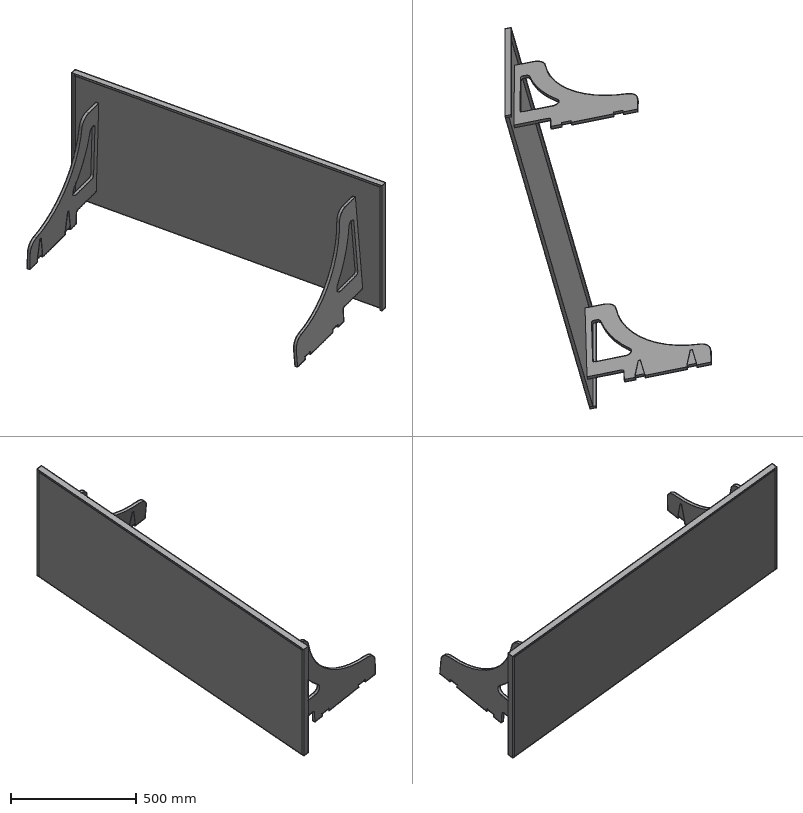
import cadquery as cq
import math

WIDTH = 1448.0
DEPTH = 521.0
HEIGHT = 623.0
FRAME_DEPTH = 26.0
FRAME_WIDTH = 10.0
PANEL_THICKNESS = 15.0

LEG_THICKNESS = 13.0
LEG_HEIGHT = 510.0
LEG_INNER_FACE_X = 618.0
LEFT_LEAN = 1.5
RIGHT_LEAN = 4.4
FOOT_BACK = 165.0
SHELF_HEIGHT = 65.0
SHELF_FILLET = 12.0

ARC_REACH = 517.0
ARC_HEIGHT = 507.0
ARC_RADIUS = 378.0
TIP_RADIUS = 50.0

LIMB_WIDTH = 74.0
WINDOW_BACK = 39.0
WINDOW_BOTTOM = 152.0
WINDOW_TOP = 418.0
WINDOW_BACK_FILLET = 13.0
WINDOW_TOP_FILLET = 17.0
WINDOW_LOWER_FILLET = 25.0

NOTCH_WIDTH = 39.0
NOTCH_HEIGHT = 13.0
NOTCH_STARTS = (210.0, 423.0)
TAPER_HEIGHT = 91.0
TAPER_TOP_WIDTH = 9.0
TAPER_DEPTH = 1.0


def arc_reach_at(height, radius):
    """Reach of the arc of the given radius, on its screen side, at a height."""
    return ARC_REACH - math.sqrt(radius**2 - (ARC_HEIGHT - height) ** 2)


def arc_height_at(reach, radius):
    """Height of the arc of the given radius, on its lower side, at a reach."""
    return ARC_HEIGHT - math.sqrt(radius**2 - (ARC_REACH - reach) ** 2)


def arc_middle(start, end, radius):
    """Point of the arc halfway between two of its points."""
    angles = [math.atan2(z - ARC_HEIGHT, reach - ARC_REACH) % math.tau for reach, z in (start, end)]
    middle = sum(angles) / 2
    return ARC_REACH + radius * math.cos(middle), ARC_HEIGHT + radius * math.sin(middle)


def leg_plane(x):
    """Plane at x whose first axis is reach (-Y) and second is Z; extruding goes toward -X."""
    return cq.Workplane(cq.Plane(origin=(x, 0, 0), xDir=(0, -1, 0), normal=(-1, 0, 0)))


def corner(reach, z):
    """Selector of the leg edge, running along X, that is nearest to a corner of the outline."""
    return cq.selectors.NearestToPointSelector((LEG_THICKNESS / 2, -reach, z))


def make_frame():
    outer = cq.Workplane().box(WIDTH, FRAME_DEPTH, HEIGHT, centered=(True, False, False))
    opening = cq.Workplane().box(
        WIDTH - 2 * FRAME_WIDTH, FRAME_DEPTH, HEIGHT - FRAME_WIDTH, centered=(True, False, False)
    )
    return outer.cut(opening).translate((0, -FRAME_DEPTH, 0))


def make_panel():
    panel = cq.Workplane().box(
        WIDTH - 2 * FRAME_WIDTH, PANEL_THICKNESS, HEIGHT - FRAME_WIDTH, centered=(True, False, False)
    )
    return panel.translate((0, -PANEL_THICKNESS, 0))


def make_leg_blank():
    arc_top = (arc_reach_at(LEG_HEIGHT, ARC_RADIUS), LEG_HEIGHT)
    arc_end = (DEPTH, arc_height_at(DEPTH, ARC_RADIUS))
    blank = (
        leg_plane(LEG_THICKNESS)
        .moveTo(PANEL_THICKNESS, SHELF_HEIGHT)
        .lineTo(PANEL_THICKNESS, LEG_HEIGHT)
        .lineTo(*arc_top)
        .threePointArc(arc_middle(arc_top, arc_end, ARC_RADIUS), arc_end)
        .lineTo(DEPTH, 0)
        .lineTo(FOOT_BACK, 0)
        .lineTo(FOOT_BACK, SHELF_HEIGHT)
        .close()
        .extrude(LEG_THICKNESS)
    )
    for tip in (arc_top, arc_end):
        blank = blank.edges("|X").edges(corner(*tip)).fillet(TIP_RADIUS)
    return blank.edges("|X").edges(corner(FOOT_BACK, SHELF_HEIGHT)).fillet(SHELF_FILLET)


def make_window():
    radius = ARC_RADIUS + LIMB_WIDTH
    upper = (arc_reach_at(WINDOW_TOP, radius), WINDOW_TOP)
    lower = (arc_reach_at(WINDOW_BOTTOM, radius), WINDOW_BOTTOM)
    window = (
        leg_plane(LEG_THICKNESS)
        .moveTo(WINDOW_BACK, WINDOW_BOTTOM)
        .lineTo(WINDOW_BACK, WINDOW_TOP)
        .lineTo(*upper)
        .threePointArc(arc_middle(upper, lower, radius), lower)
        .close()
        .extrude(LEG_THICKNESS)
    )
    fillets = [
        ((WINDOW_BACK, WINDOW_BOTTOM), WINDOW_BACK_FILLET),
        ((WINDOW_BACK, WINDOW_TOP), WINDOW_BACK_FILLET),
        (upper, WINDOW_TOP_FILLET),
        (lower, WINDOW_LOWER_FILLET),
    ]
    for point, fillet in fillets:
        window = window.edges("|X").edges(corner(*point)).fillet(fillet)
    return window


def make_notch(start):
    """Notch through the sole together with the tapering recess above it."""
    end = start + NOTCH_WIDTH
    middle = start + NOTCH_WIDTH / 2
    taper_top = NOTCH_HEIGHT + TAPER_HEIGHT
    notch = (
        leg_plane(LEG_THICKNESS)
        .moveTo(start, 0)
        .lineTo(start, NOTCH_HEIGHT)
        .lineTo(end, NOTCH_HEIGHT)
        .lineTo(end, 0)
        .close()
        .extrude(LEG_THICKNESS)
    )
    taper = (
        leg_plane(TAPER_DEPTH)
        .moveTo(start, NOTCH_HEIGHT)
        .lineTo(middle - TAPER_TOP_WIDTH / 2, taper_top)
        .lineTo(middle + TAPER_TOP_WIDTH / 2, taper_top)
        .lineTo(end, NOTCH_HEIGHT)
        .close()
        .extrude(TAPER_DEPTH)
    )
    return notch.union(taper)


def make_leg(lean):
    """Right-hand leg with its inner face toward -X, leaning about the bottom of that face."""
    leg = make_leg_blank().cut(make_window())
    for start in NOTCH_STARTS:
        leg = leg.cut(make_notch(start))
    return leg.rotate((0, 0, 0), (0, 1, 0), -lean).translate((LEG_INNER_FACE_X, 0, 0))


frame = make_frame()
panel = make_panel()
right_leg = make_leg(RIGHT_LEAN)
left_leg = make_leg(LEFT_LEAN).mirror("YZ")

result = cq.Compound.makeCompound([frame.val(), panel.val(), right_leg.val(), left_leg.val()])